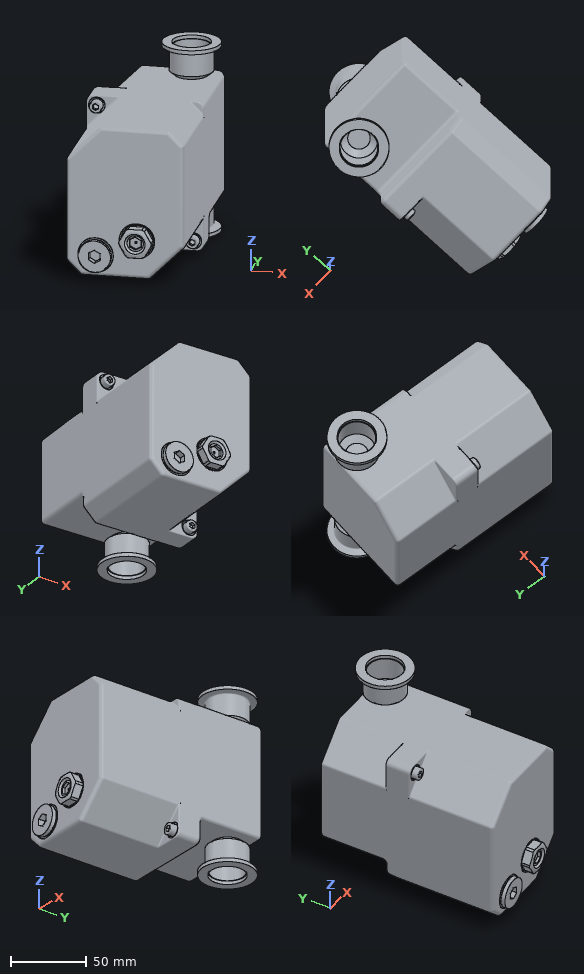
import cadquery as cq
import math

body_width = 80.0
body_length = 135.0
body_height = 105.0
front_y = -body_length
large_chamfer = 23.5
small_chamfer = 10.0
edge_radius = 3.0
corner_radius = 5.0

step_height = 19.1
ear_rear_y = -51.0
ear_front_y = -70.0
ear_edge_radius = 1.0
ear_middle_y = (ear_rear_y + ear_front_y) / 2
ear_block_size = 35.3

port_x = 60.0
port_y = -14.4
port_height = 23.1
port_root = 1.5
port_neck_end = 19.8
flange_diameter = 40.0
flange_rim = 2.8
flange_thickness = 3.8
flange_fillet = 0.9
neck_diameter = 30.0
port_base_diameter = 22.0
seat_diameter = 26.2
seat_depth = 2.5
port_bore_diameter = 25.0
port_floor_diameter = 15.0
bore_cone_height = 3.8

screw_inset = 7.2
screw_recess_diameter = 11.0
screw_recess_depth = 1.0
screw_head_diameter = 8.5
screw_protrusion = 4.0
screw_edge_radius = 0.5
screw_hex_across_flats = 4.0
screw_socket_depth = 2.4
screw_pilot_diameter = 5.0
screw_tip_depth = 1.5

recess_diameter = 24.0
recess_depth = 1.0
socket_across_flats = 8.0
plug_x = 20.0
plug_z = 15.0
plug_diameter = 22.0
plug_protrusion = 3.7
plug_stem_diameter = 20.0
plug_head_gap = 0.5
plug_socket_depth = 5.0
fitting_x = 48.0
fitting_z = 26.6
fitting_across_flats = 20.0
fitting_corner_diameter = 22.0
fitting_collar_height = 0.5
fitting_protrusion = 6.5
fitting_rim_diameter = 16.5
fitting_bevel = 0.7
bore_mouth_diameter = 14.0
bore_floor_diameter = 11.0
bore_depth = 1.5
fitting_socket_depth = 2.0
vent_diameter = 1.5
vent_depth = 1.5

tolerance = 0.01


def front_plane(x, y, z):
    """Workplane at a point, with its normal pointing forward along -Y."""
    return cq.Workplane(cq.Plane(origin=(x, y, z), xDir=(1, 0, 0), normal=(0, -1, 0)))


def hexagon(plane, across_flats, length):
    """Hexagonal prism with two flats parallel to the plane's local x axis."""
    return plane.polygon(6, across_flats / math.cos(math.pi / 6)).extrude(length)


def upright_hexagon(x, y, z, across_flats, length):
    """Hexagonal prism running along Y with a corner at the top."""
    half_hex_turn = 30
    prism = hexagon(front_plane(x, y, z), across_flats, length)
    return prism.rotate((x, y, z), (x, y + 1.5, z), half_hex_turn)


def corner_wedge(corner_x, corner_z, size, y_start, y_end):
    """Triangular prism along Y that chamfers one long edge of the housing."""
    inward_x = size if corner_x == 0 else -size
    inward_z = size if corner_z == 0 else -size
    outline = [
        (corner_x, corner_z),
        (corner_x + inward_x, corner_z),
        (corner_x, corner_z + inward_z),
    ]
    return front_plane(0, y_start, 0).polyline(outline).close().extrude(y_start - y_end)


def edge_box(x_range, y_range, z_range):
    """Selector for edges whose centres lie inside the given ranges."""
    low, high = zip(x_range, y_range, z_range)
    return cq.selectors.BoxSelector(low, high)


def make_housing():
    """Stepped block with chamfered long edges and rounded everywhere."""
    body = cq.Workplane("XY").box(body_width, body_length, body_height, centered=False)
    body = body.translate((0, front_y, 0))
    step = cq.Workplane("XY").box(body_width, -ear_rear_y, step_height, centered=False)
    body = body.cut(step.translate((0, ear_rear_y, 0)))

    wedges = [
        corner_wedge(0, body_height, large_chamfer, 0, front_y),
        corner_wedge(0, 0, small_chamfer, ear_rear_y, front_y),
        corner_wedge(body_width, body_height, small_chamfer, ear_middle_y, front_y),
        corner_wedge(body_width, 0, large_chamfer, ear_middle_y, front_y),
    ]
    for wedge in wedges:
        body = body.cut(wedge)

    body = body.edges("|Y").edges(">X").edges("<Z or >Z").fillet(corner_radius)
    return body.edges().filter(is_general_edge).fillet(edge_radius)


def is_general_edge(edge):
    """True unless the edge bounds a corner rounding or a wedge end inside an ear."""
    start, end = edge.startPoint(), edge.endPoint()
    lengthwise = abs(start.y - end.y) > tolerance
    if not lengthwise and abs(start.y - ear_middle_y) < tolerance:
        return False
    center = edge.Center()
    beside_corner = center.x > body_width - corner_radius - tolerance and center.y > ear_middle_y
    from_above_or_below = min(center.z, body_height - center.z)
    at_corner_height = from_above_or_below < corner_radius + tolerance
    return not (lengthwise and beside_corner and at_corner_height)


def make_ear(corner_x, corner_z, y_rear, y_front):
    """Block with a rounded corner that fills part of a chamfered edge."""
    inward_x = ear_block_size if corner_x == 0 else -ear_block_size
    inward_z = ear_block_size if corner_z == 0 else -ear_block_size
    side = "<X" if corner_x == 0 else ">X"
    level = "<Z" if corner_z == 0 else ">Z"
    plane = front_plane(corner_x + inward_x / 2, y_rear, corner_z + inward_z / 2)
    ear = plane.rect(ear_block_size, ear_block_size).extrude(y_rear - y_front)
    ear = ear.edges("|Y").edges(side).edges(level).fillet(corner_radius)
    ends = "<Y" if y_rear == ear_middle_y else "<Y or >Y"
    return ear.faces(ends).edges().fillet(ear_edge_radius)


def is_ear_root(edge):
    """True for the slanted edges where an ear wall meets a chamfer."""
    start, end = edge.startPoint(), edge.endPoint()
    in_ear_wall = any(
        abs(start.y - wall_y) < tolerance and abs(end.y - wall_y) < tolerance
        for wall_y in (ear_front_y, ear_rear_y)
    )
    run, rise = abs(end.x - start.x), abs(end.z - start.z)
    return in_ear_wall and abs(run - rise) < tolerance and run > corner_radius


def add_ears(body):
    body = body.union(make_ear(0, body_height, ear_rear_y, ear_front_y))
    body = body.union(make_ear(body_width, body_height, ear_middle_y, ear_front_y))
    body = body.union(make_ear(body_width, 0, ear_middle_y, ear_front_y))
    return body.edges().filter(is_ear_root).fillet(ear_edge_radius)


def make_top_port():
    """Flanged neck with a conical base and a stepped bore."""
    top_z = body_height + port_height
    flange_radius = flange_diameter / 2
    neck_radius = neck_diameter / 2
    outline = [
        (0, body_height - port_root),
        (port_base_diameter / 2, body_height - port_root),
        (port_base_diameter / 2, body_height),
        (neck_radius, top_z - port_neck_end),
        (neck_radius, top_z - flange_thickness),
        (flange_radius, top_z - flange_rim),
        (flange_radius, top_z),
        (0, top_z),
    ]
    bore_outline = [
        (0, body_height),
        (port_floor_diameter / 2, body_height),
        (port_bore_diameter / 2, body_height + bore_cone_height),
        (port_bore_diameter / 2, top_z - seat_depth),
        (seat_diameter / 2, top_z - seat_depth),
        (seat_diameter / 2, top_z),
        (0, top_z),
    ]
    under_flange = edge_box(
        (-neck_radius, neck_radius),
        (-neck_radius, neck_radius),
        (top_z - flange_thickness - tolerance, top_z - flange_thickness + tolerance),
    )
    port = turned_upright(outline).edges("%CIRCLE").edges(under_flange).fillet(flange_fillet)
    port = port.cut(turned_upright(bore_outline))
    return port.translate((port_x, port_y, 0))


def turned_upright(outline):
    """Solid of revolution about Z from (radius, z) points."""
    return cq.Workplane("XZ").polyline(outline).close().revolve(360, (0, 0), (0, 1))


def add_ports(body):
    top_port = make_top_port()
    middle_z = (body_height + step_height) / 2
    bottom_port = top_port.mirror("XY", (0, 0, middle_z))
    return body.union(top_port).union(bottom_port)


def turned_forward(x, y, z, outline):
    """Solid of revolution about -Y from (radius, forward distance) points."""
    solid = cq.Workplane("XY").polyline(outline).close().revolve(360, (0, 0), (0, 1))
    return solid.mirror("XZ").translate((x, y, z))


def round_recess(x, y, z, diameter, depth):
    """Disc that sinks a round recess behind the face at y."""
    return front_plane(x, y + depth, z).circle(diameter / 2).extrude(depth)


def make_screw(x, z):
    head_y = ear_front_y - screw_protrusion
    length = screw_protrusion + screw_recess_depth
    base = front_plane(x, ear_front_y + screw_recess_depth, z)
    head = base.circle(screw_head_diameter / 2).extrude(length)
    head = head.faces("<Y").edges().fillet(screw_edge_radius)
    full_depth = screw_socket_depth + screw_tip_depth
    hex_hole = upright_hexagon(x, head_y + full_depth, z, screw_hex_across_flats, full_depth)
    pilot_radius = screw_pilot_diameter / 2
    pilot = turned_forward(x, head_y, z, [
        (0, 0),
        (pilot_radius, 0),
        (pilot_radius, -screw_socket_depth),
        (0, -full_depth),
    ])
    return head.cut(hex_hole.intersect(pilot))


def add_screws(body):
    for x, z in [
        (screw_inset, body_height - screw_inset),
        (body_width - screw_inset, screw_inset),
    ]:
        body = body.cut(round_recess(x, ear_front_y, z, screw_recess_diameter, screw_recess_depth))
        body = body.union(make_screw(x, z))
    return body


def add_plug(body):
    recess = round_recess(plug_x, front_y, plug_z, recess_diameter, recess_depth)
    base = front_plane(plug_x, front_y + recess_depth, plug_z)
    plug = base.circle(plug_stem_diameter / 2).extrude(recess_depth + plug_protrusion)
    head = front_plane(plug_x, front_y - plug_head_gap, plug_z)
    plug = plug.union(head.circle(plug_diameter / 2).extrude(plug_protrusion - plug_head_gap))
    socket_floor_y = front_y - plug_protrusion + plug_socket_depth
    socket = upright_hexagon(plug_x, socket_floor_y, plug_z, socket_across_flats, plug_socket_depth)
    return body.cut(recess).union(plug).cut(socket)


def add_fitting(body):
    recess = round_recess(fitting_x, front_y, fitting_z, recess_diameter, recess_depth)
    base = front_plane(fitting_x, front_y + recess_depth, fitting_z)
    length = recess_depth + fitting_protrusion
    trimmed_radius = fitting_corner_diameter / 2
    envelope = turned_forward(fitting_x, front_y, fitting_z, [
        (0, -recess_depth),
        (trimmed_radius, -recess_depth),
        (trimmed_radius, fitting_protrusion - fitting_bevel),
        (fitting_rim_diameter / 2, fitting_protrusion),
        (0, fitting_protrusion),
    ])
    fitting = hexagon(base, fitting_across_flats, length).intersect(envelope)
    fitting = fitting.union(base.circle(fitting_corner_diameter / 2).extrude(fitting_collar_height))

    floor = fitting_protrusion - bore_depth
    bore = turned_forward(fitting_x, front_y, fitting_z, [
        (0, floor),
        (bore_floor_diameter / 2, floor),
        (bore_mouth_diameter / 2, fitting_protrusion),
        (0, fitting_protrusion),
    ])
    socket_floor_y = front_y - floor + fitting_socket_depth
    socket = upright_hexagon(
        fitting_x, socket_floor_y, fitting_z, socket_across_flats, fitting_socket_depth
    )
    vent = round_recess(fitting_x, socket_floor_y, fitting_z, vent_diameter, vent_depth)
    body = body.cut(recess).union(fitting)
    return body.cut(bore).cut(socket).cut(vent)


result = make_housing()
result = add_ears(result)
result = add_ports(result)
result = add_screws(result)
result = add_plug(result)
result = add_fitting(result)